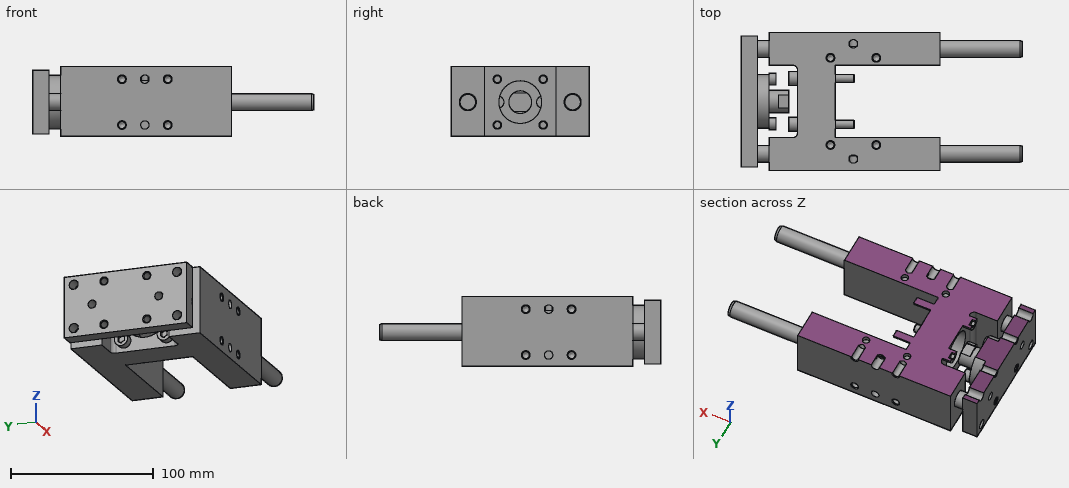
import cadquery as cq
import math

total_length = 197.0
plate_thickness = 11.5
housing_start = 19.5
housing_length = 120.0
housing_end = housing_start + housing_length

housing_width = 97.0
housing_height = 49.0
housing_top = 25.0
housing_bottom = housing_top - housing_height
arm_gap = 50.5
web_start = 39.4
web_thickness = 26.5
web_end = web_start + web_thickness
pocket_fillet = 3.2
web_bore_diameter = 30.0

plate_width = 92.0
plate_height = 45.0

rod_diameter = 12.0
rod_spacing = 73.5
rod_chamfer_length = 1.8
rod_chamfer_depth = 0.5

pattern_pitch = 32.1
half_pitch = pattern_pitch / 2
pattern_center_x = 78.6
tap_diameter = 5.0
tap_mouth_diameter = 6.1
tap_depth = 11.8
drill_point_angle = 118
dowel_diameter = 6.0
dowel_depth = 10.0
dowel_seam_angle = 45
top_tap_spacing = 61.0
top_dowel_spacing = 80.8

plate_clearance_diameter = 6.7
plate_clearance_spacing = 77.6
plate_dowel_spacing = 50.0

web_screw_diameter = 6.0
web_screw_head_diameter = 10.0
web_screw_head_height = 6.1
web_screw_projection = 13.4
web_screw_chamfer = 0.5
web_screw_hex_sides = 6
web_screw_hex_flats = 5.0
web_screw_hex_depth = 2.5

flange_diameter = 37.8
flange_thickness = housing_start - plate_thickness
stub_diameter = 16.0
stub_length = 14.0
stub_flats = 13.0
stub_flats_length = 7.5
flange_screw_spacing = 31.3
flange_screw_head_diameter = 8.5
flange_screw_head_height = 5.0

x_axis = cq.Vector(1, 0, 0)
sides = (-1, 1)


def box(x_start, length, width, z_bottom, height):
    """Block centred on the XZ plane, starting at x_start and z_bottom."""
    block = cq.Workplane("XY").box(length, width, height, centered=(False, True, False))
    return block.translate((x_start, 0, z_bottom))


def rod(x_start, length, diameter, y=0.0, z=0.0):
    """Cylinder parallel to X."""
    start = cq.Vector(x_start, y, z)
    return cq.Workplane(obj=cq.Solid.makeCylinder(diameter / 2, length, start, x_axis))


def blind_tapped_hole():
    """Tapped hole running down from the XY plane: chamfered mouth, straight wall, drill point."""
    radius = tap_diameter / 2
    mouth_radius = tap_mouth_diameter / 2
    point_height = radius / math.tan(math.radians(drill_point_angle / 2))
    return (
        cq.Workplane("XZ")
        .lineTo(mouth_radius, 0)
        .lineTo(radius, radius - mouth_radius)
        .lineTo(radius, -tap_depth)
        .lineTo(0, -tap_depth - point_height)
        .close()
        .revolve(360, (0, 0, 0), (0, 1, 0))
    )


def blind_dowel_hole():
    """Flat-bottomed hole running down from the XY plane."""
    hole = cq.Workplane("XY").circle(dowel_diameter / 2).extrude(-dowel_depth)
    return hole.rotate((0, 0, 0), (0, 0, 1), dowel_seam_angle)


def top_holes():
    """Holes in the top face: two taps and one dowel hole over each arm."""
    holes = []
    for side in sides:
        for end in sides:
            place = (pattern_center_x + end * half_pitch, side * top_tap_spacing / 2, housing_top)
            holes.append(blind_tapped_hole().translate(place))
        place = (pattern_center_x, side * top_dowel_spacing / 2, housing_top)
        holes.append(blind_dowel_hole().translate(place))
    return holes


def side_holes():
    """Holes in the two outer side faces: two rows of tap, dowel, tap."""
    tap = blind_tapped_hole()
    dowel = blind_dowel_hole()
    holes = []
    for side in sides:
        for row in sides:
            for hole, offset in ((tap, -half_pitch), (dowel, 0), (tap, half_pitch)):
                place = (pattern_center_x + offset, side * housing_width / 2, row * half_pitch)
                holes.append(hole.rotate((0, 0, 0), (1, 0, 0), -90 * side).translate(place))
    return holes


def web_screw(y, z):
    """Socket head screw: head in the front pocket, shank end standing out behind the web."""
    head_start = web_start - web_screw_head_height
    head = rod(head_start, web_screw_head_height, web_screw_head_diameter, y, z)
    shank_length = web_thickness + web_screw_projection
    shank = rod(web_start, shank_length, web_screw_diameter, y, z).faces(">X").chamfer(web_screw_chamfer)
    socket = (
        cq.Workplane("YZ", origin=(head_start, y, z))
        .polygon(web_screw_hex_sides, web_screw_hex_flats, circumscribed=True)
        .extrude(web_screw_hex_depth)
    )
    return head.union(shank).cut(socket)


def make_housing():
    """H-shaped housing with its four web screws."""
    body = box(housing_start, housing_length, housing_width, housing_bottom, housing_height)
    front_pocket = box(housing_start, web_start - housing_start, arm_gap, housing_bottom, housing_height)
    front_pocket = front_pocket.edges("|Z and >X").fillet(pocket_fillet)
    rear_pocket = box(web_end, housing_end - web_end, arm_gap, housing_bottom, housing_height)
    body = body.cut(front_pocket).cut(rear_pocket)
    body = body.cut(rod(web_start, web_thickness, web_bore_diameter))

    for side in sides:
        body = body.cut(rod(housing_start, housing_length, rod_diameter, side * rod_spacing / 2))
    for hole in top_holes() + side_holes():
        body = body.cut(hole)
    for side in sides:
        for row in sides:
            body = body.union(web_screw(side * half_pitch, row * half_pitch))
    return body


def plate_tap(y, z):
    """Through tapped hole with a chamfered mouth on the outer face."""
    radius = tap_diameter / 2
    mouth_radius = tap_mouth_diameter / 2
    mouth = cq.Solid.makeCone(mouth_radius, radius, mouth_radius - radius, cq.Vector(0, y, z), x_axis)
    return rod(0, plate_thickness, tap_diameter, y, z).union(cq.Workplane(obj=mouth))


def make_plate():
    """Front plate with clearance, tapped and dowel holes through it."""
    plate = box(0, plate_thickness, plate_width, -plate_height / 2, plate_height)
    for side in sides:
        plate = plate.cut(rod(0, plate_thickness, dowel_diameter, side * plate_dowel_spacing / 2))
        for row in sides:
            z = row * half_pitch
            y = side * plate_clearance_spacing / 2
            plate = plate.cut(rod(0, plate_thickness, plate_clearance_diameter, y, z))
            plate = plate.cut(plate_tap(side * half_pitch, z))
    return plate


def make_guide_rod(y):
    """Guide rod with a long, shallow taper at its free end."""
    guide = rod(plate_thickness, total_length - plate_thickness, rod_diameter, y)
    return guide.faces(">X").chamfer(rod_chamfer_length, rod_chamfer_depth)


def make_coupling():
    """Round flange with a stub that has two wrench flats, and two screw heads."""
    coupling = rod(plate_thickness, flange_thickness, flange_diameter)
    stub = rod(housing_start, stub_length, stub_diameter)
    stub_end = housing_start + stub_length
    flats_start = stub_end - stub_flats_length
    for side in sides:
        z_bottom = side * (stub_flats + stub_diameter) / 2 - stub_diameter / 2
        stub = stub.cut(box(flats_start, stub_flats_length, stub_diameter, z_bottom, stub_diameter))
    coupling = coupling.union(stub)
    for side in sides:
        y = side * flange_screw_spacing / 2
        head = rod(housing_start, flange_screw_head_height, flange_screw_head_diameter, y)
        coupling = coupling.union(head)
    return coupling


def make_slider():
    """Moving body: front plate, guide rods and coupling."""
    slider = make_plate().union(make_coupling())
    for side in sides:
        slider = slider.union(make_guide_rod(side * rod_spacing / 2))
    return slider


housing = make_housing()
slider = make_slider()

result = cq.Compound.makeCompound([housing.val(), slider.val()])